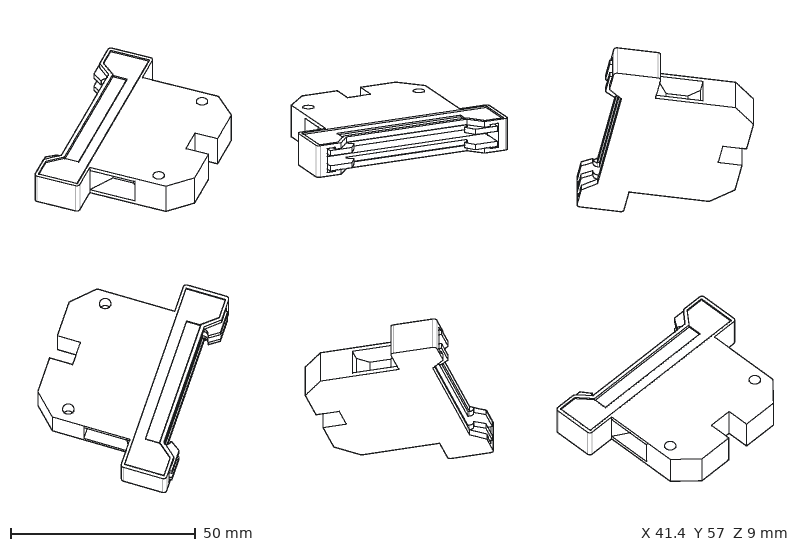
import cadquery as cq
import math

thickness = 9.0
top = thickness / 2

foot_length = 57
foot_depth = 12.9
foot_corner_radius = 0.9
rail_face_x = 3.9
rail_half_width = 17.95
rail_ramp_half_width = 21.4

body_width = 40.0
body_end_x = 40.9
body_chamfer = 6.05
notch_width = 6.9
notch_depth = 6.55

side_rim = 0.85
end_rim = 1.0
recess_depth = 0.45
recess_ramp_start = 21.9
inner_recess_start_x = 4.95
inner_recess_end_x = 9.0
inner_recess_half_width = 18.4
inner_recess_depth = 0.45

cavity_length = 51.1
cavity_end_x = 6.9
cavity_height = 6.85
cavity_end_opening = 2.4

clip_thickness = 1.5
clip_offset = 2.15
clip_back_x = -0.55
clip_half_length = 24.9
clip_shoulder_y = 18.4
clip_tip = (2.2, 16.5)
clip_face_x = 4.35
hook_radius = 1.4
hook_center_x = 3.8

entry_height = 6.85
entry_end_x = 25.95
entry_straight_depth = 3.8
entry_bevel = 2.95
entry_wall_start_x = 17.0

screw_hole_diameter = 3.1
screw_hole_depth = 4.55
screw_x = 31.45
screw_y = 16.5


def mirrored_outline(upper_points):
    """Close an outline given by its +Y half with the mirror image of that half."""
    lower_points = [(x, -y) for x, y in reversed(upper_points)]
    return cq.Workplane("XY").polyline(upper_points + lower_points).close()


def slab(upper_points, height, base_z):
    return mirrored_outline(upper_points).extrude(height).translate((0, 0, base_z))


def make_foot():
    half_length = foot_length / 2
    outline = [
        (rail_face_x, rail_half_width),
        (0, rail_ramp_half_width),
        (0, half_length),
        (foot_depth, half_length),
    ]
    foot = slab(outline, thickness, -top)
    return foot.edges("|Z and (<Y or >Y)").fillet(foot_corner_radius)


def make_body():
    half_width = body_width / 2
    half_notch = notch_width / 2
    outline = [
        (cavity_end_x, half_width),
        (body_end_x - body_chamfer, half_width),
        (body_end_x, half_width - body_chamfer),
        (body_end_x, half_notch),
        (body_end_x - notch_depth, half_notch),
    ]
    return slab(outline, thickness, -top)


def make_top_recess():
    half_length = foot_length / 2 - end_rim
    outline = [
        (inner_recess_start_x, inner_recess_half_width),
        (side_rim, recess_ramp_start),
        (side_rim, half_length),
        (foot_depth - side_rim, half_length),
    ]
    floor_z = top - recess_depth
    outer_step = slab(outline, recess_depth, floor_z)
    inner_outline = [
        (inner_recess_start_x, inner_recess_half_width),
        (inner_recess_end_x, inner_recess_half_width),
    ]
    inner_step = slab(inner_outline, inner_recess_depth, floor_z - inner_recess_depth)
    return outer_step.union(inner_step)


def make_clip_cavity():
    clip_span = 2 * clip_offset + clip_thickness
    cavity = cq.Workplane("XY").box(cavity_end_x, cavity_length, clip_span, centered=(False, True, True))
    for side in (-1, 1):
        end_opening = cq.Workplane("XY").box(
            cavity_end_x, cavity_end_opening, cavity_height, centered=(False, True, True)
        )
        opening_y = side * (cavity_length - cavity_end_opening) / 2
        cavity = cavity.union(end_opening.translate((0, opening_y, 0)))
    return cavity


def make_clip(center_z):
    """Flat spring clip with a hook at each end that grips the rail edge."""
    hook_center_y = rail_half_width - hook_radius
    diagonal = hook_radius * math.sqrt(0.5)
    arc_start_x = hook_center_x - hook_radius
    arc_middle_x = hook_center_x - diagonal
    arc_middle_y = hook_center_y + diagonal
    clip = (
        cq.Workplane("XY")
        .moveTo(cavity_end_x, clip_half_length)
        .lineTo(clip_back_x, clip_half_length)
        .lineTo(clip_back_x, clip_shoulder_y)
        .lineTo(*clip_tip)
        .lineTo(arc_start_x, hook_center_y)
        .threePointArc((arc_middle_x, arc_middle_y), (hook_center_x, rail_half_width))
        .lineTo(clip_face_x, rail_half_width)
        .lineTo(clip_face_x, -rail_half_width)
        .lineTo(hook_center_x, -rail_half_width)
        .threePointArc((arc_middle_x, -arc_middle_y), (arc_start_x, -hook_center_y))
        .lineTo(clip_tip[0], -clip_tip[1])
        .lineTo(clip_back_x, -clip_shoulder_y)
        .lineTo(clip_back_x, -clip_half_length)
        .lineTo(cavity_end_x, -clip_half_length)
        .close()
        .extrude(clip_thickness)
    )
    return clip.translate((0, 0, center_z - clip_thickness / 2))


def make_wire_entry():
    """Pocket entering the +Y side of the body, narrowing to a flat inner wall."""
    mouth_y = body_width / 2
    wall_y = mouth_y - entry_straight_depth - entry_bevel
    outline = [
        (foot_depth, mouth_y),
        (entry_wall_start_x, wall_y),
        (entry_end_x - entry_bevel, wall_y),
        (entry_end_x, wall_y + entry_bevel),
        (entry_end_x, mouth_y),
    ]
    entry = cq.Workplane("XY").polyline(outline).close().extrude(entry_height)
    return entry.translate((0, 0, -entry_height / 2))


def make_screw_holes():
    return (
        cq.Workplane("XY", origin=(0, 0, top))
        .pushPoints([(screw_x, screw_y), (screw_x, -screw_y)])
        .circle(screw_hole_diameter / 2)
        .extrude(-screw_hole_depth)
    )


result = make_foot().union(make_body())
result = result.cut(make_top_recess()).cut(make_clip_cavity())
for clip_z in (-clip_offset, clip_offset):
    result = result.union(make_clip(clip_z))
wire_entry = make_wire_entry()
result = result.cut(wire_entry).cut(wire_entry.mirror("XZ"))
result = result.cut(make_screw_holes())